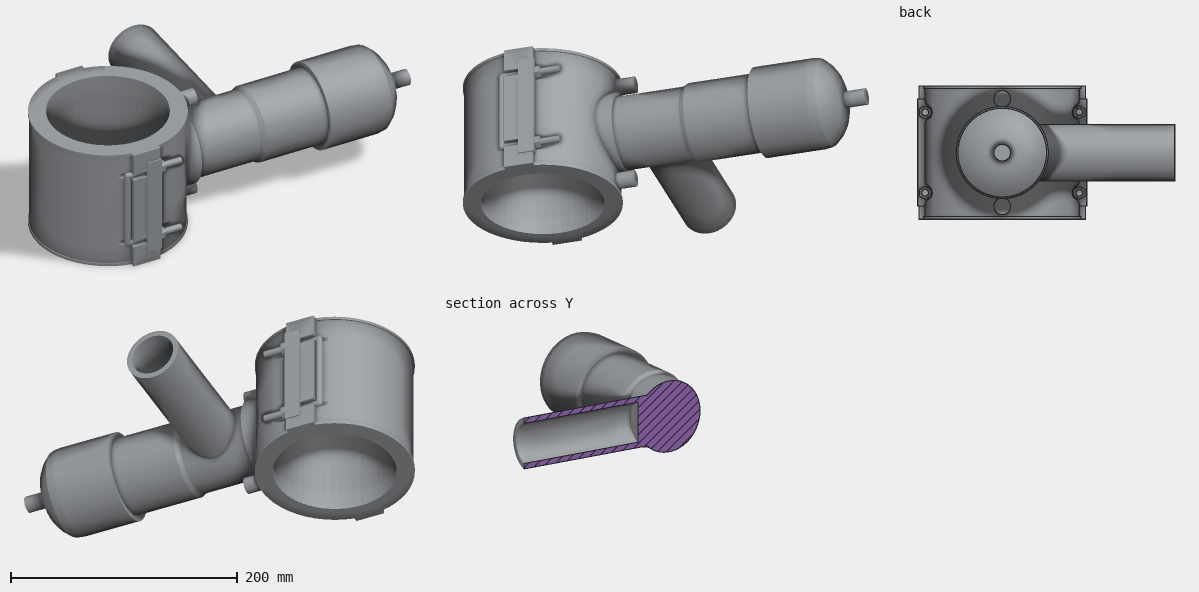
import cadquery as cq
import math


height = 118.0
bore_radius = 54.7
lip_radius = 70.5
shell_radius = 69.5
lip_height = 2.5

flange_reach = 73.5
flange_depth = 13.3
flange_inner = 57.7
cover_thickness = 1.0
cover_length = 94.5

bolt_radius = 3.0
bolt_x = 68.0
bolt_z = 35.5
bolt_end = 36.5
staple_bar_y = -16.5
slot_end = -29.5
nut_width = 10.0
nut_top = 19.0
pocket_radius = 6.3
pocket_round = 4.5

collar_radius = 36.5
collar_top = 74.7
neck_radius = 33.0
neck_top = 136.0
barrel_radius = 35.3
barrel_bottom = 140.5
cap_radius = 40.5
cap_bottom = 201.5
cap_side_top = 255.0
dome_bottom = 263.3
dome_radius = 37.0
dome_top = 279.5
dome_flat_radius = 8.5
stub_radius = 7.5
stub_top = 299.0

outlet_radius = 50.0 / 2
outlet_bore_radius = 40.0 / 2
outlet_y = 106.5
outlet_end = 152.5
post_radius = 7.5
post_top = 85.8
post_z = 47.5

SIDES = (-1, 1)


def cylinder_y(radius, start, end, x=0, z=0):
    """Solid cylinder along Y between two Y positions."""
    base = cq.Workplane("XZ", origin=(x, start, z))
    return base.circle(radius).extrude(start - end)


def block(x_range, y_range, z_range):
    """Axis-parallel block between pairs of coordinates."""
    size = [high - low for low, high in (x_range, y_range, z_range)]
    corner = (min(x_range), min(y_range), min(z_range))
    return cq.Workplane("XY").box(*size, centered=False).translate(corner)


def side_range(side, inner, outer):
    """X interval between two distances from the YZ plane on one side."""
    return sorted((side * inner, side * outer))


def half_space(direction):
    """Block that holds everything on one side of the split plane."""
    y_range = sorted((0, direction * 2 * lip_radius))
    return block((-2 * lip_radius, 2 * lip_radius), y_range, (-height, height))


def disc(radius, bottom, top):
    """Solid disc on the ring axis."""
    return cq.Workplane("XY", origin=(0, 0, bottom)).circle(radius).extrude(top - bottom)


def half_ring(direction):
    """Half of the ring wall, before boring."""
    ring = disc(shell_radius, -height / 2, height / 2)
    return ring.intersect(half_space(direction))


def half_lips(direction):
    """Raised bands at both ends of half a ring, before boring."""
    lower = disc(lip_radius, -height / 2, lip_height - height / 2)
    upper = disc(lip_radius, height / 2 - lip_height, height / 2)
    return lower.union(upper).intersect(half_space(direction))


def ring_bore():
    """Cutter for the bore of the clamp ring."""
    return disc(bore_radius, -height, height)


def flange(side, direction):
    """Clamping flange over the full height of the ring."""
    y_range = sorted((0, direction * flange_depth))
    x_range = side_range(side, flange_inner, flange_reach)
    return block(x_range, y_range, (-height / 2, height / 2))


def bolt_places():
    """X and Z of the four bolt axes."""
    return [(side * bolt_x, end * bolt_z) for side in SIDES for end in SIDES]


def nut_pockets():
    """Cutters for the nut pockets of one side, with rounded mouths, above the flange at +X."""
    reach = 2 * lip_radius
    wall = half_ring(1).intersect(block((0, reach), (flange_depth, reach), (-height, height)))
    pocketed = wall
    for end in SIDES:
        pocketed = pocketed.cut(cylinder_y(pocket_radius, 0, reach, bolt_x, end * bolt_z))
    pocketed = pocketed.edges("%BSPLINE").fillet(pocket_round)
    return wall.cut(pocketed)


def cover_plate(side):
    """Plate wrapped over the outer and upper faces of a saddle flange."""
    x_range = side_range(side, bolt_x - bolt_radius, flange_reach + cover_thickness)
    z_range = (-cover_length / 2, cover_length / 2)
    return block(x_range, (0, flange_depth + cover_thickness), z_range)


def nut(x, z):
    """Hexagon nut with two flats facing along X."""
    corner_diameter = nut_width / math.cos(math.pi / 6)
    base = cq.Workplane("XZ", origin=(x, flange_depth, z)).transformed(rotate=(0, 0, 90))
    return base.polygon(6, corner_diameter).extrude(flange_depth - nut_top)


def tap():
    """Stepped body of the tap with its domed cap, turned about the Y axis."""
    dome_drop = dome_top - dome_bottom
    dome_angle = math.acos(1 - dome_drop / dome_radius)
    dome_edge = dome_flat_radius + dome_radius * math.sin(dome_angle)
    dome_middle = (
        dome_flat_radius + dome_radius * math.sin(dome_angle / 2),
        dome_top - dome_radius * (1 - math.cos(dome_angle / 2)),
    )
    return (
        cq.Workplane("XY")
        .moveTo(0, bore_radius / 2)
        .lineTo(collar_radius, bore_radius / 2)
        .lineTo(collar_radius, collar_top)
        .lineTo(neck_radius, collar_top)
        .lineTo(neck_radius, neck_top)
        .lineTo(barrel_radius, barrel_bottom)
        .lineTo(barrel_radius, cap_bottom)
        .lineTo(cap_radius, cap_bottom)
        .lineTo(cap_radius, cap_side_top)
        .tangentArcPoint((dome_edge, dome_bottom), relative=False)
        .threePointArc(dome_middle, (dome_flat_radius, dome_top))
        .lineTo(stub_radius, dome_top)
        .lineTo(stub_radius, stub_top)
        .lineTo(0, stub_top)
        .close()
        .revolve(360, (0, 0, 0), (0, 1, 0))
    )


def outlet(radius, inner_end):
    """Cylinder on the outlet axis from the open end inwards."""
    base = cq.Workplane("YZ", origin=(-outlet_end, outlet_y, 0))
    return base.circle(radius).extrude(outlet_end - inner_end)


def make_saddle():
    """Upper half of the clamp together with the tap, the outlet and the nuts."""
    pockets = nut_pockets()
    saddle = half_ring(1).cut(pockets).cut(pockets.mirror("YZ")).union(half_lips(1))
    for side in SIDES:
        saddle = saddle.union(flange(side, 1)).union(cover_plate(side))
    saddle = saddle.union(tap()).union(outlet(outlet_radius, 0))
    for end in SIDES:
        saddle = saddle.union(cylinder_y(post_radius, bore_radius, post_top, 0, end * post_z))
    saddle = saddle.cut(outlet(outlet_bore_radius, neck_radius)).cut(ring_bore())
    for x, z in bolt_places():
        saddle = saddle.union(nut(x, z)).cut(cylinder_y(bolt_radius, 0, bolt_end, x, z))
    return saddle


def bolt_slot(side, z):
    """Round-bottomed slot that is open to the outside of the flange."""
    bottom = cylinder_y(bolt_radius, 0, slot_end, side * bolt_x, z)
    x_range = side_range(side, bolt_x, flange_reach + 3.7)
    return bottom.union(block(x_range, (slot_end, 0), (z - bolt_radius, z + bolt_radius)))


def staple(side):
    """Two bolts joined by a round bar, with ball-shaped corners."""
    x = side * bolt_x
    bar_base = cq.Workplane("XY", origin=(x, staple_bar_y, -bolt_z))
    body = bar_base.circle(bolt_radius).extrude(2 * bolt_z)
    for end in SIDES:
        z = end * bolt_z
        corner = cq.Workplane("XY").sphere(bolt_radius).translate((x, staple_bar_y, z))
        body = body.union(cylinder_y(bolt_radius, staple_bar_y, bolt_end, x, z)).union(corner)
    return body


def make_clamp():
    """Lower half of the clamp with its two staples."""
    clamp = half_ring(-1).union(half_lips(-1))
    for side in SIDES:
        clamp = clamp.union(flange(side, -1))
        for end in SIDES:
            clamp = clamp.cut(bolt_slot(side, end * bolt_z))
        clamp = clamp.union(staple(side))
    return clamp.cut(ring_bore())


saddle = make_saddle()
clamp = make_clamp()

result = cq.Compound.makeCompound([saddle.val(), clamp.val()])